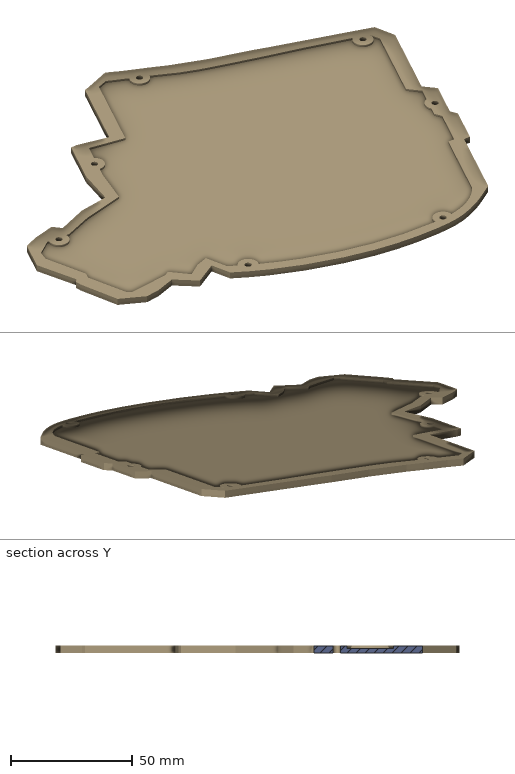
import cadquery as cq

plate_thickness = 3.0
pocket_depth = 1.0

hole_diameter = 3.0
boss_radius = 4.4
screw_positions = [
    (7.3, 175.4),
    (61.0, 191.0),
    (143.7, 170.8),
    (155.4, 84.0),
    (115.8, 14.0),
    (66.0, 43.5),
    (9.5, 79.0),
]

top_left_y = 189.0
top_step_y = 195.1
top_tab_y = 198.0
top_rim_width = 6.7

palm_left_y = 54.8
palm_middle_y = 37.6
palm_left_rim_width = 6.1
palm_middle_rim_width = 7.0

outer_top_edge = [
    (0.0, 182.5),
    (8.0, top_left_y),
    (47.7, top_left_y),
    (50.7, top_step_y),
    (68.7, top_step_y),
    (71.0, top_tab_y),
    (89.0, top_tab_y),
    (90.0, top_step_y),
    (126.3, top_step_y),
]
outer_right_curve = [
    (134.8, 188.8),
    (145.0, 177.7),
    (151.0, 165.7),
    (158.1, 142.0),
    (161.5, 114.5),
    (161.5, 96.8),
    (159.0, 75.2),
]
outer_thumb_edge = [
    (151.8, 69.3),
    (161.3, 61.5),
    (157.3, 50.7),
    (163.5, 43.1),
    (166.5, 37.5),
    (165.0, 25.1),
    (150.6, 13.5),
    (148.2, 12.0),
    (146.5, 12.9),
    (131.8, 0.0),
    (116.8, 0.0),
    (112.0, 5.1),
    (106.0, 13.7),
    (108.3, 17.8),
    (98.0, 28.9),
    (91.2, 41.0),
    (74.2, palm_middle_y),
    (51.7, palm_middle_y),
    (50.7, 39.8),
    (48.5, palm_left_y),
    (12.0, palm_left_y),
    (10.9, 56.5),
    (2.0, 66.3),
]
outer_left_edge = [
    (2.8, 73.6),
    (3.4, 85.1),
    (4.0, 92.6),
    (4.0, 110.5),
    (3.4, 118.2),
    (2.5, 129.6),
    (2.4, 136.0),
    (2.0, 143.5),
    (1.2, 159.1),
    (0.8, 166.0),
    (0.2, 178.3),
]

pocket_top_edge = [
    (4.8, 178.7),
    (8.7, top_left_y - top_rim_width),
    (47.7, top_left_y - top_rim_width),
    (50.9, top_step_y - top_rim_width),
    (68.7, top_step_y - top_rim_width),
    (71.0, top_tab_y - top_rim_width),
    (89.0, top_tab_y - top_rim_width),
    (90.0, top_step_y - top_rim_width),
    (125.5, top_step_y - top_rim_width),
]
pocket_right_curve = [
    (135.5, 183.0),
    (140.7, 177.1),
    (147.3, 163.3),
    (153.2, 143.0),
    (156.8, 117.4),
    (156.8, 96.8),
    (154.0, 75.2),
]
pocket_thumb_edge = [
    (145.9, 68.5),
    (149.8, 63.7),
    (155.8, 59.5),
    (151.5, 50.7),
    (153.5, 48.7),
    (161.9, 32.0),
    (161.0, 29.9),
    (146.5, 17.8),
    (143.5, 17.8),
    (128.0, 4.8),
    (123.5, 4.2),
    (116.4, 9.0),
    (113.2, 19.2),
    (103.5, 29.9),
    (92.2, 46.5),
    (75.0, palm_middle_y + palm_middle_rim_width),
    (54.0, palm_middle_y + palm_middle_rim_width),
    (51.0, palm_left_y + palm_left_rim_width),
    (11.5, palm_left_y + palm_left_rim_width),
    (8.1, 65.0),
]
pocket_left_edge = [
    (9.5, 86.7),
    (10.3, 95.8),
    (10.3, 104.9),
    (9.5, 117.4),
    (8.3, 132.8),
    (6.7, 150.0),
]


def closed_outline(plane, top_edge, right_curve, thumb_edge, left_edge):
    """Closed wire of straight-sided runs, with a smooth curve down the right side."""
    return (
        plane.polyline(top_edge)
        .spline(right_curve, includeCurrent=True)
        .polyline(thumb_edge + left_edge, includeCurrent=True)
        .close()
    )


floor_z = plate_thickness - pocket_depth

plate = closed_outline(
    cq.Workplane("XY"), outer_top_edge, outer_right_curve, outer_thumb_edge, outer_left_edge
).extrude(plate_thickness)

pocket = closed_outline(
    cq.Workplane("XY", origin=(0, 0, floor_z)),
    pocket_top_edge, pocket_right_curve, pocket_thumb_edge, pocket_left_edge,
).extrude(pocket_depth)

bosses = (
    cq.Workplane("XY", origin=(0, 0, floor_z))
    .pushPoints(screw_positions)
    .circle(boss_radius)
    .extrude(pocket_depth)
)
holes = (
    cq.Workplane("XY")
    .pushPoints(screw_positions)
    .circle(hole_diameter / 2)
    .extrude(plate_thickness)
)

result = plate.cut(pocket.cut(bosses)).cut(holes)